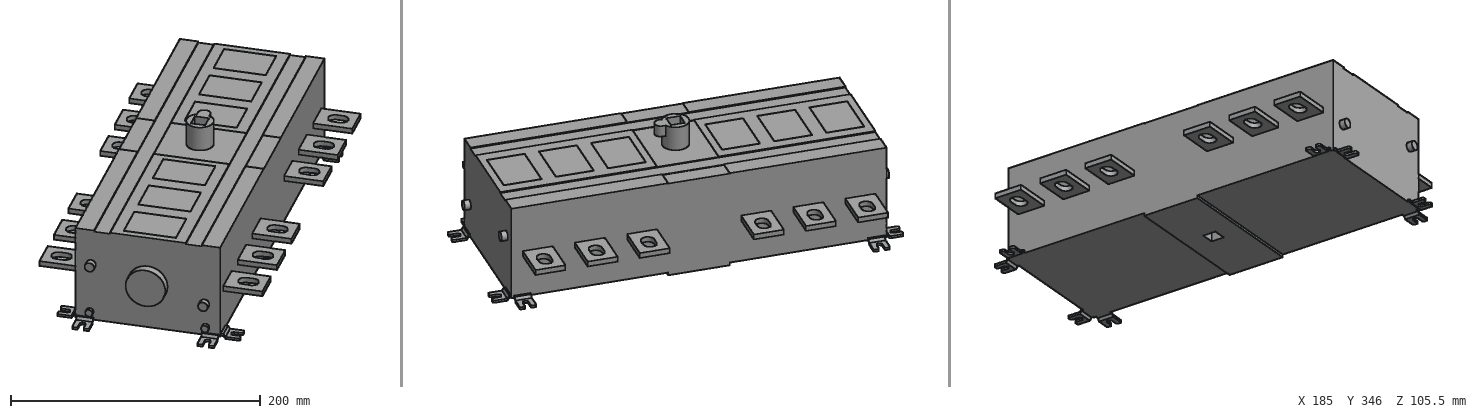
import cadquery as cq

body_width = 120.0
body_length = 316.2
body_bottom = 2.5
body_top = 84.8
total_width = 185.0
total_length = 346
total_height = 105.5
overlap = 1.7

middle_length = 52
middle_step = 0.5

groove_inner_x = 31.5
groove_outer_x = 44.5
groove_depth = 1.0

pole_first_y = 48.0
pole_pitch = 44.0
poles_per_group = 3
window_width = 43.2
window_length = 32.0
window_depth = 0.5

terminal_width = 25.3
terminal_thickness = 4.5
terminal_z = 42.0
terminal_hole_x = 77.5
terminal_hole_length = 16.5
terminal_hole_width = 11.0

shaft_diameter = 22.0
socket_size = 11.8
pointer_width = 10.5
pointer_reach = 17.5
pointer_height = 9.7

boss_diameter = 33.0
boss_z = 42.2
boss_height = 7.3
rod_diameter = 8.0
rod_x = 47.0
rod_high_z = 53.3
rod_low_z = 31
rod_height = 5.2
screw_diameter = 6.2
screw_x = 48.0
screw_z = 9.7
screw_height = 3.0

foot_width = 14
foot_thickness = 2.0
foot_rise = 2.5
foot_flat_length = 11.8
foot_bend_length = 1.7
foot_length = 18.0
foot_corner_radius = 1.0
foot_slot_width = 5.0
foot_slot_depth = 9.0
end_foot_x = 52
side_foot_y = 149.0
side_foot_tip_x = 75.8

pole_positions = [
    side * (pole_first_y + i * pole_pitch)
    for side in (-1, 1)
    for i in range(poles_per_group)
]


def block(x_size, y_size, z_low, z_high):
    """Box centred on the Z axis between two heights."""
    return cq.Workplane("XY").workplane(offset=z_low).rect(x_size, y_size).extrude(z_high - z_low)


def housing():
    body = block(body_width, body_length, body_bottom, body_top)
    base_pad = block(body_width, middle_length, 0, body_bottom + overlap)
    body = body.union(base_pad)

    body = body.cut(block(body_width, middle_length, body_top - middle_step, body_top))
    groove_width = groove_outer_x - groove_inner_x
    groove_x = (groove_inner_x + groove_outer_x) / 2
    groove = block(groove_width, body_length, body_top - groove_depth, body_top)
    for side in (-1, 1):
        body = body.cut(groove.translate((side * groove_x, 0, 0)))

    window = block(window_width, window_length, body_top - window_depth, body_top)
    for y in pole_positions:
        body = body.cut(window.translate((0, y, 0)))
    return body


def terminal_bar():
    """One bar across the housing, ending in a slotted terminal on each side."""
    bar_bottom = terminal_z - terminal_thickness / 2
    bar = block(total_width, terminal_width, bar_bottom, bar_bottom + terminal_thickness)
    holes = (
        cq.Workplane("XY")
        .workplane(offset=bar_bottom)
        .pushPoints([(-terminal_hole_x, 0), (terminal_hole_x, 0)])
        .slot2D(terminal_hole_length, terminal_hole_width)
        .extrude(terminal_thickness)
    )
    return bar.cut(holes)


def shaft():
    """Round shaft with a rounded pointer towards +Y at its top."""
    root_z = body_top - overlap
    stem = (
        cq.Workplane("XY")
        .workplane(offset=root_z)
        .circle(shaft_diameter / 2)
        .extrude(total_height - root_z)
    )
    half_width = pointer_width / 2
    straight_end = pointer_reach - half_width
    pointer = (
        cq.Workplane("XY")
        .workplane(offset=total_height - pointer_height)
        .moveTo(-half_width, 0)
        .lineTo(half_width, 0)
        .lineTo(half_width, straight_end)
        .threePointArc((0, pointer_reach), (-half_width, straight_end))
        .close()
        .extrude(pointer_height)
    )
    return stem.union(pointer)


def front_stud(diameter, height, x, z):
    """Cylinder standing out from the -Y end face."""
    return (
        cq.Workplane("XZ", origin=(x, overlap - body_length / 2, z))
        .circle(diameter / 2)
        .extrude(height + overlap)
    )


def through_rod(x, z):
    """Rod along the whole housing, standing out from both end faces."""
    length = body_length + 2 * rod_height
    return cq.Workplane("XZ", origin=(x, length / 2, z)).circle(rod_diameter / 2).extrude(length)


def foot():
    """Foot with its tip at the origin, pointing along +X."""
    bend_end = foot_flat_length + foot_bend_length
    strip = (
        cq.Workplane("XZ")
        .polyline([
            (0, 0),
            (-foot_flat_length, 0),
            (-bend_end, foot_rise),
            (-foot_length, foot_rise),
            (-foot_length, foot_rise + foot_thickness),
            (-bend_end, foot_rise + foot_thickness),
            (-foot_flat_length, foot_thickness),
            (0, foot_thickness),
        ])
        .close()
        .extrude(foot_width / 2, both=True)
    )
    slot = (
        cq.Workplane("XY")
        .slot2D(2 * foot_slot_depth, foot_slot_width)
        .extrude(foot_thickness)
    )
    return strip.cut(slot).edges("|Z and >X").fillet(foot_corner_radius)


def feet():
    """Two feet at each corner: one off the end face and one off the side."""
    placed = []
    for x_side in (-1, 1):
        for y_side in (-1, 1):
            end_foot = foot().rotate((0, 0, 0), (0, 0, 1), 90 * y_side)
            placed.append(end_foot.translate((x_side * end_foot_x, y_side * total_length / 2, 0)))
            side_foot = foot().rotate((0, 0, 0), (0, 0, 1), 90 - 90 * x_side)
            placed.append(side_foot.translate((x_side * side_foot_tip_x, y_side * side_foot_y, 0)))
    return placed


result = housing().union(shaft())
for pole_y in pole_positions:
    result = result.union(terminal_bar().translate((0, pole_y, 0)))

result = result.union(front_stud(boss_diameter, boss_height, 0, boss_z))
result = result.union(through_rod(-rod_x, rod_high_z))
result = result.union(through_rod(rod_x, rod_low_z))
for stud_x in (-screw_x, screw_x):
    result = result.union(front_stud(screw_diameter, screw_height, stud_x, screw_z))

for placed_foot in feet():
    result = result.union(placed_foot)

result = result.cut(block(socket_size, socket_size, 0, total_height))